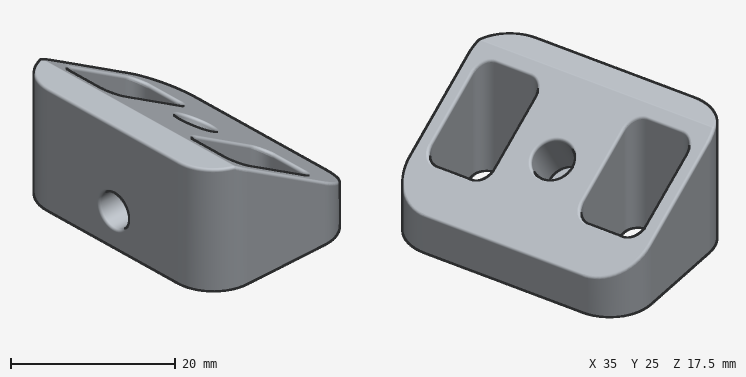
import cadquery as cq
import math

length = 35.0
depth = 25.0
height = 17.45
corner_radius = 6.0
slope_angle = 30.0
ledge_depth = 4.35
edge_round = 0.4

window_length = 9.0
window_depth = 13.0
window_spacing = 21.98
window_corner_radius = 2.0

slope_hole_diameter = 5.4
slope_hole_y = 1.55
slope_hole_depth = 7.0

front_hole_diameter = 5.0
front_hole_x = 0.2
front_hole_z = 5.25
front_hole_depth = 7.0

slope = math.radians(slope_angle)
slope_normal = cq.Vector(0, math.sin(slope), math.cos(slope))
front_y = -depth / 2
back_y = depth / 2
crease_y = front_y + ledge_depth


def slope_height(y):
    """Height of the sloping face at a given y."""
    return height - (y - crease_y) * math.tan(slope)


def make_wedge():
    """Side profile swept along X, with its four upright corners rounded."""
    profile = [
        (front_y, 0),
        (back_y, 0),
        (back_y, slope_height(back_y)),
        (crease_y, height),
        (front_y, height),
    ]
    wedge = cq.Workplane("YZ").polyline(profile).close().extrude(length / 2, both=True)
    return wedge.edges("|Z").fillet(corner_radius)


def make_windows():
    return (
        cq.Workplane("XY")
        .pushPoints([(-window_spacing / 2, 0), (window_spacing / 2, 0)])
        .rect(window_length, window_depth)
        .extrude(height)
        .edges("|Z")
        .fillet(window_corner_radius)
    )


def make_slope_hole():
    """Blind, flat-bottomed cylinder sunk along the slope normal."""
    mouth = cq.Vector(0, slope_hole_y, slope_height(slope_hole_y))
    floor = mouth - slope_normal * slope_hole_depth
    reach = 2 * slope_hole_depth
    return cq.Solid.makeCylinder(slope_hole_diameter / 2, reach, floor, slope_normal)


def make_front_hole():
    start = cq.Vector(front_hole_x, front_y, front_hole_z)
    inward = cq.Vector(0, 1, 0)
    return cq.Solid.makeCylinder(front_hole_diameter / 2, front_hole_depth, start, inward)


body = make_wedge().cut(make_windows()).cut(make_slope_hole())
sloping_face = body.faces(cq.selectors.DirectionMinMaxSelector(slope_normal))
ledge_face = body.faces(">Z")
body = sloping_face.edges().add(ledge_face.edges()).fillet(edge_round)

body = body.cut(make_front_hole())
result = body.faces("<Y").edges("%CIRCLE").fillet(edge_round)